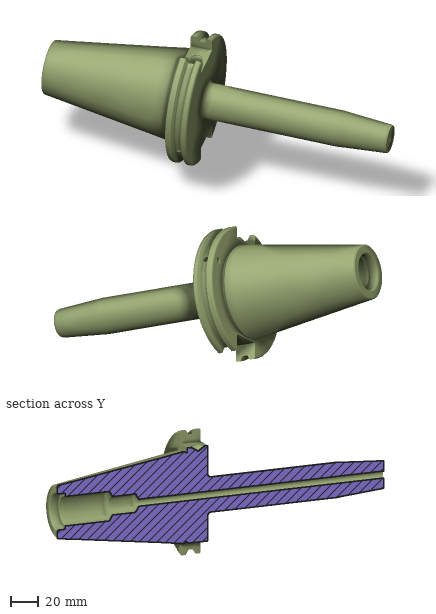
import cadquery as cq
import math

total_length = 261.5
taper_length = 101.5
relief_start = 103.0
flange_start = 104.0
flange_end = 120.5
nose_start = 223.5

taper_diameter = 70.0
taper_ratio = 7 / 24
taper_tip_chamfer = 0.8
relief_diameter = 68.0

flange_diameter = 98.0
flange_rounding = 1.5
groove_center = 112.7
groove_floor_diameter = 91.0
groove_floor_width = 4.0
groove_half_angle = 30

shaft_diameter = 27.0
shaft_fillet = 2.5
nose_diameter = 21.5
nose_chamfer = 1.5
nose_chamfer_depth = 0.5

mouth_diameter = 28.8
counterbore_diameter = 27.0
counterbore_depth = 6.5
thread_diameter = 22.0
thread_end = 41.9
pilot_diameter = 13.5
pilot_end = 62.8
coolant_diameter = 5.0
drill_half_angle = 59

slot_width = 25.6
upper_slot_height = 37.5
lower_slot_height = 35.0
orientation_diameter = 9.5
orientation_depth = 0.5

port_circle_radius = 41.9
port_angle = 20
port_mouth_diameter = 5.0
port_mouth_depth = 2.5
port_diameter = 3.1
outlet_diameter = 4.2


def drill_point(diameter, end_diameter=0.0):
    """Axial length of a drilled cone between two diameters."""
    return (diameter - end_diameter) / 2 / math.tan(math.radians(drill_half_angle))


def revolve_about_x(profile):
    """Revolve an outline of (x, radius) points about the spindle axis."""
    return profile.close().revolve(360, (0, 0, 0), (1, 0, 0))


def make_body():
    taper_radius = taper_diameter / 2
    tip_radius = taper_radius - taper_length * taper_ratio / 2
    flange_radius = flange_diameter / 2
    shaft_radius = shaft_diameter / 2
    nose_radius = nose_diameter / 2
    profile = (
        cq.Workplane("XY")
        .moveTo(0, 0)
        .lineTo(0, tip_radius - taper_tip_chamfer)
        .lineTo(taper_tip_chamfer, tip_radius + taper_tip_chamfer * taper_ratio / 2)
        .lineTo(taper_length, taper_radius)
        .lineTo(relief_start, relief_diameter / 2)
        .lineTo(flange_start, relief_diameter / 2)
        .lineTo(flange_start, flange_radius - flange_rounding)
        .radiusArc((flange_start + flange_rounding, flange_radius), flange_rounding)
        .lineTo(flange_end - flange_rounding, flange_radius)
        .radiusArc((flange_end, flange_radius - flange_rounding), flange_rounding)
        .lineTo(flange_end, shaft_radius + shaft_fillet)
        .radiusArc((flange_end + shaft_fillet, shaft_radius), -shaft_fillet)
        .lineTo(nose_start, shaft_radius)
        .lineTo(total_length - nose_chamfer, nose_radius)
        .lineTo(total_length, nose_radius - nose_chamfer_depth)
        .lineTo(total_length, 0)
    )
    return revolve_about_x(profile)


def make_groove():
    floor_radius = groove_floor_diameter / 2
    rim_radius = flange_diameter / 2
    floor_half = groove_floor_width / 2
    mouth_half = floor_half + (rim_radius - floor_radius) * math.tan(math.radians(groove_half_angle))
    profile = (
        cq.Workplane("XY")
        .moveTo(groove_center - floor_half, floor_radius)
        .lineTo(groove_center + floor_half, floor_radius)
        .lineTo(groove_center + mouth_half, rim_radius)
        .lineTo(groove_center - mouth_half, rim_radius)
    )
    return revolve_about_x(profile)


def make_bore():
    mouth_chamfer = (mouth_diameter - counterbore_diameter) / 2
    profile = (
        cq.Workplane("XY")
        .moveTo(0, 0)
        .lineTo(0, mouth_diameter / 2)
        .lineTo(mouth_chamfer, counterbore_diameter / 2)
        .lineTo(counterbore_depth, counterbore_diameter / 2)
        .lineTo(counterbore_depth, thread_diameter / 2)
        .lineTo(thread_end, thread_diameter / 2)
        .lineTo(thread_end + drill_point(thread_diameter, pilot_diameter), pilot_diameter / 2)
        .lineTo(pilot_end, pilot_diameter / 2)
        .lineTo(pilot_end + drill_point(pilot_diameter, coolant_diameter), coolant_diameter / 2)
        .lineTo(total_length, coolant_diameter / 2)
        .lineTo(total_length, 0)
    )
    return revolve_about_x(profile)


def make_slot(floor_height, side):
    """Slot across the flange; side is +1 for the top and -1 for the bottom."""
    depth = flange_diameter / 2 - floor_height
    center = ((flange_start + flange_end) / 2, 0, side * (floor_height + depth / 2))
    return cq.Workplane("XY").box(flange_end - flange_start, slot_width, depth).translate(center)


def make_orientation_hole():
    """Blind drilled hole with a conical bottom in the floor of the upper slot."""
    radius = orientation_diameter / 2
    profile = (
        cq.Workplane("XZ")
        .lineTo(radius, 0)
        .lineTo(radius, -orientation_depth)
        .lineTo(0, -orientation_depth - drill_point(orientation_diameter))
        .close()
        .revolve(360, (0, 0, 0), (0, 1, 0))
    )
    return profile.translate((groove_center, 0, upper_slot_height))


def make_coolant_port(angle):
    """Axial port from the rear flange face that turns outward into the groove."""
    axial_direction = cq.Vector(1, 0, 0)
    radial_direction = cq.Vector(0, math.cos(math.radians(angle)), math.sin(math.radians(angle)))
    face_center = axial_direction * flange_start + radial_direction * port_circle_radius
    turn_center = axial_direction * groove_center + radial_direction * port_circle_radius
    mouth = cq.Solid.makeCylinder(port_mouth_diameter / 2, port_mouth_depth, face_center, axial_direction)
    axial = cq.Solid.makeCylinder(port_diameter / 2, groove_center - flange_start, face_center, axial_direction)
    outlet_length = flange_diameter / 2 - port_circle_radius
    outlet = cq.Solid.makeCylinder(outlet_diameter / 2, outlet_length, turn_center, radial_direction)
    return cq.Workplane("XY").newObject([mouth.fuse(axial, outlet)])


result = make_body().cut(make_groove()).cut(make_bore())
result = result.cut(make_slot(upper_slot_height, 1)).cut(make_slot(lower_slot_height, -1))
result = result.cut(make_orientation_hole())
for angle in (port_angle, port_angle + 180):
    result = result.cut(make_coolant_port(angle))